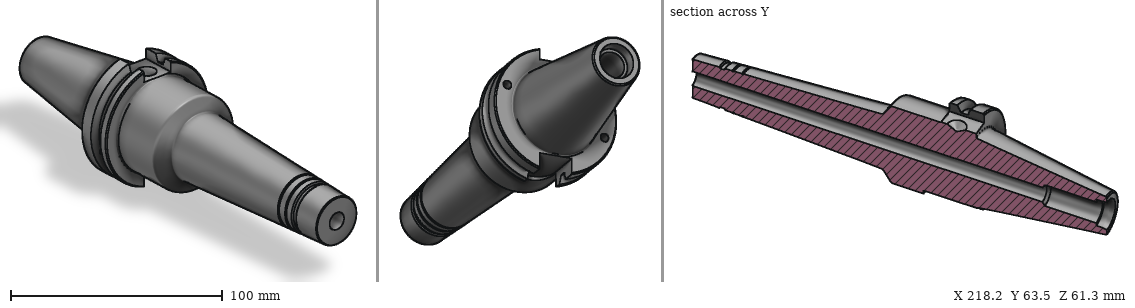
import cadquery as cq
import math

overall_length = 218.2

taper_end_radius = 12.2
taper_rate = 7 / 48
taper_end_chamfer = 0.7

flange_radius = 63.5 / 2
flange_start = 68.7
flange_end = 87.0
flange_chamfer = 0.7
flange_root_fillet = 0.9
groove_start = 76.0
groove_floor_start = 77.5
groove_floor_end = 81.0
groove_end = 83.0
groove_floor_radius = 28.0

taper_length = flange_start - flange_root_fillet
taper_big_radius = taper_end_radius + taper_rate * taper_length

body_radius = 49.5 / 2
shoulder_start = 112.5
shoulder_angle = math.radians(57)
shoulder_round = 2.2
shoulder_root_fillet = 1.3

nose_start_radius = 17.7
nose_tip_radius = 25.0 / 2
nose_tip_chamfer = 0.5
ring_line_starts = (191.5, 196.5)
ring_line_width = 0.7
ring_groove_start = 200.8
ring_groove_width = 3.3
ring_line_depth = 0.5
ring_groove_depth = 0.9
ring_groove_bevel = 0.7

cone_start = shoulder_start + shoulder_round * math.sin(shoulder_angle)
cone_start_radius = body_radius - shoulder_round * (1 - math.cos(shoulder_angle))
cone_end_radius = nose_start_radius + shoulder_root_fillet * (1 - math.cos(shoulder_angle))
cone_end = cone_start + (cone_start_radius - cone_end_radius) / math.tan(shoulder_angle)
nose_start = cone_end + shoulder_root_fillet * math.sin(shoulder_angle)

slot_width = 16.5
top_slot_floor = 25.0
bottom_slot_floor = 22.7
bottom_slot_end = 96.7

dimple_diameter = 9.5
dimple_x = 79.2

coolant_circle_radius = 26.8
coolant_angle = 20
coolant_diameter = 4.1
coolant_end = 80.3

drill_point_angle = 118

mouth_radius = 8.7
mouth_depth = 2.6
counterbore_radius = 16.4 / 2
counterbore_depth = 5.7
pilot_radius = 13.0 / 2
pilot_depth = 32.7
through_radius = 9.0 / 2


def drill_point(radius):
    """Axial length over which a drill point grows to the given radius."""
    return radius / math.tan(math.radians(drill_point_angle / 2))


def nose_radius(x):
    """Radius of the plain nose cone at x."""
    slope = (nose_tip_radius - nose_start_radius) / (overall_length - nose_start)
    return nose_start_radius + slope * (x - nose_start)


def round_outline():
    """Outside of the holder: its half section revolved about X."""
    bow = flange_root_fillet * (1 - math.sqrt(0.5))
    back_root = flange_end + flange_root_fillet
    half_angle = shoulder_angle / 2
    return (
        cq.Workplane("XY")
        .moveTo(0, 0)
        .lineTo(0, taper_end_radius - taper_end_chamfer)
        .lineTo(taper_end_chamfer, taper_end_radius + taper_rate * taper_end_chamfer)
        .lineTo(taper_length, taper_big_radius)
        .threePointArc(
            (flange_start - bow, taper_big_radius + bow),
            (flange_start, taper_big_radius + flange_root_fillet),
        )
        .lineTo(flange_start, flange_radius - flange_chamfer)
        .lineTo(flange_start + flange_chamfer, flange_radius)
        .lineTo(groove_start, flange_radius)
        .lineTo(groove_floor_start, groove_floor_radius)
        .lineTo(groove_floor_end, groove_floor_radius)
        .lineTo(groove_end, flange_radius)
        .lineTo(flange_end - flange_chamfer, flange_radius)
        .lineTo(flange_end, flange_radius - flange_chamfer)
        .lineTo(flange_end, body_radius + flange_root_fillet)
        .threePointArc((flange_end + bow, body_radius + bow), (back_root, body_radius))
        .lineTo(shoulder_start, body_radius)
        .threePointArc(
            (
                shoulder_start + shoulder_round * math.sin(half_angle),
                body_radius - shoulder_round * (1 - math.cos(half_angle)),
            ),
            (cone_start, cone_start_radius),
        )
        .lineTo(cone_end, cone_end_radius)
        .threePointArc(
            (
                nose_start - shoulder_root_fillet * math.sin(half_angle),
                nose_start_radius + shoulder_root_fillet * (1 - math.cos(half_angle)),
            ),
            (nose_start, nose_start_radius),
        )
        .lineTo(overall_length - nose_tip_chamfer, nose_tip_radius)
        .lineTo(overall_length, nose_tip_radius - nose_tip_chamfer)
        .lineTo(overall_length, 0)
        .close()
        .revolve(360, (0, 0, 0), (1, 0, 0))
    )


def nose_ring(start, width, depth, bevel=0):
    """Ring cut into the nose, following its taper, with sides that lean outward by the bevel."""
    end = start + width
    return (
        cq.Workplane("XY")
        .moveTo(start + bevel, nose_radius(start + bevel) - depth)
        .lineTo(start, nose_radius(start))
        .lineTo(start, nose_start_radius)
        .lineTo(end, nose_start_radius)
        .lineTo(end, nose_radius(end))
        .lineTo(end - bevel, nose_radius(end - bevel) - depth)
        .close()
        .revolve(360, (0, 0, 0), (1, 0, 0))
    )


def bore():
    """Stepped bore with a flared mouth, open through the whole length."""
    return (
        cq.Workplane("XY")
        .moveTo(0, 0)
        .lineTo(0, mouth_radius)
        .lineTo(mouth_depth, counterbore_radius)
        .lineTo(counterbore_depth, counterbore_radius)
        .lineTo(counterbore_depth, pilot_radius)
        .lineTo(pilot_depth, pilot_radius)
        .lineTo(pilot_depth + drill_point(pilot_radius - through_radius), through_radius)
        .lineTo(overall_length, through_radius)
        .lineTo(overall_length, 0)
        .close()
        .revolve(360, (0, 0, 0), (1, 0, 0))
    )


def top_slot():
    """Slot across the flange with a flat floor, open at both ends."""
    length = flange_end + flange_root_fillet - flange_start
    return cq.Workplane("XY", origin=(flange_start, 0, top_slot_floor)).box(
        length, slot_width, flange_radius, centered=(False, True, False)
    )


def bottom_slot():
    """Deeper slot that runs out into the body with a round end."""
    end_center = bottom_slot_end - slot_width / 2
    floor = cq.Workplane("XY", origin=(0, 0, -bottom_slot_floor))
    return (
        floor.moveTo(taper_length, -slot_width / 2)
        .lineTo(end_center, -slot_width / 2)
        .threePointArc((bottom_slot_end, 0), (end_center, slot_width / 2))
        .lineTo(taper_length, slot_width / 2)
        .close()
        .extrude(-flange_radius)
    )


def dimple():
    """Cone sunk into the floor of the top slot."""
    radius = dimple_diameter / 2
    depth = drill_point(radius)
    floor_center = cq.Vector(dimple_x, 0, top_slot_floor)
    downward = cq.Vector(0, 0, -1)
    return cq.Workplane(cq.Solid.makeCone(radius, 0, depth, floor_center, downward))


def coolant_hole(angle):
    """Drilled hole from the flange face that breaks open along the groove floor."""
    radius = coolant_diameter / 2
    center_y = coolant_circle_radius * math.cos(math.radians(angle))
    center_z = coolant_circle_radius * math.sin(math.radians(angle))
    return (
        cq.Workplane("XY")
        .moveTo(flange_start, 0)
        .lineTo(flange_start, radius)
        .lineTo(coolant_end, radius)
        .lineTo(coolant_end + drill_point(radius), 0)
        .close()
        .revolve(360, (0, 0, 0), (1, 0, 0))
        .translate((0, center_y, center_z))
    )


result = round_outline().cut(bore()).cut(top_slot()).cut(bottom_slot()).cut(dimple())
for half_turn in (0, 180):
    result = result.cut(coolant_hole(coolant_angle + half_turn))
for line_start in ring_line_starts:
    result = result.cut(nose_ring(line_start, ring_line_width, ring_line_depth))
result = result.cut(
    nose_ring(ring_groove_start, ring_groove_width, ring_groove_depth, ring_groove_bevel)
)